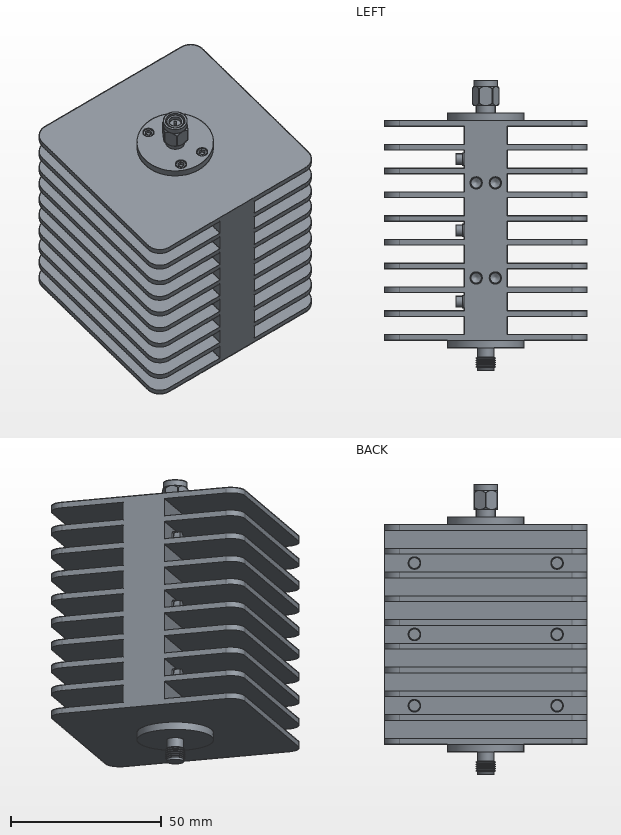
import cadquery as cq
import math


side = 67.3
corner_radius = 5.0
fin_count = 10
fin_pitch = 7.9
fin_thickness = 1.9
body_height = (fin_count - 1) * fin_pitch + fin_thickness
body_top = body_height / 2
column_width = 14.4

tap_diameter = 3.5
tap_mouth_diameter = 4.0
tap_depth = 7.7
tap_point_angle = 118
tap_offset_y = 3.2
tap_offset_z = 2 * fin_pitch

clamp_head_diameter = 3.7
clamp_head_length = 2.7
clamp_washer_diameter = 4.1
clamp_washer_thickness = 0.6
clamp_offset_x = 23.7
clamp_pitch_z = 3 * fin_pitch

flange_diameter = 25.4
flange_height = 2.5
flange_top = body_top + flange_height
flange_screw_spacing_x = 17.7
flange_screw_spacing_y = 8.9
flange_hole_diameter = 3.7
flange_hole_depth = 1.9
flange_head_diameter = 3.3
flange_head_drop = 0.2
socket_across_flats = 1.9
socket_depth = 1.2

plug_neck_diameter = 6.4
plug_neck_height = 2.4
nut_across_flats = 7.9
nut_height = 6.45
nut_point_diameter = 9.0
nut_bevel_height = 0.8
collar_height = 1.9
plug_height = plug_neck_height + nut_height + collar_height
plug_top = flange_top + plug_height
plug_bore_diameter = 6.4
plug_bore_depth = 1.7
ferrule_diameter = 5.6
ferrule_bore_diameter = 4.1
ferrule_drop = 0.4
plug_pin_diameter = 0.94
plug_pin_drop = 0.3
plug_pin_tip = 0.4

jack_diameter = 5.6
jack_height = 7.5
thread_diameter = 6.4
thread_start = 3.1
thread_pitch = 0.72
thread_ridges = 5


def rod(diameter, bottom, height):
    """Cylinder on the Z axis standing on the level `bottom`."""
    return cq.Workplane("XY").workplane(offset=bottom).circle(diameter / 2).extrude(height)


def hexagon(across_flats, bottom, height):
    """Hexagonal prism on the Z axis with flats facing +X and -X."""
    corner_diameter = across_flats / math.cos(math.pi / 6)
    prism = cq.Workplane("XY").polygon(6, corner_diameter).extrude(height)
    return prism.rotate((0, 0, 0), (0, 0, 1), 30).translate((0, 0, bottom))


def heat_sink():
    body = cq.Workplane("XY").box(side, column_width, body_height)
    fin = cq.Workplane("XY").box(side, side, fin_thickness).edges("|Z").fillet(corner_radius)
    for i in range(fin_count):
        z = (i - (fin_count - 1) / 2) * fin_pitch
        body = body.union(fin.translate((0, 0, z)))
    return body


def tapped_hole():
    """Drilled hole with a bevelled mouth and a conical end, running from the origin along +X."""
    radius = tap_diameter / 2
    mouth_radius = tap_mouth_diameter / 2
    bevel = mouth_radius - radius
    point_length = radius / math.tan(math.radians(tap_point_angle / 2))
    profile = [
        (0, 0),
        (0, mouth_radius),
        (bevel, radius),
        (tap_depth, radius),
        (tap_depth + point_length, 0),
    ]
    return cq.Workplane("XY").polyline(profile).close().revolve(360, (0, 0, 0), (1, 0, 0))


def clamp_screw():
    """Cylinder head on a washer, standing on the +Y face of the column."""
    washer = rod(clamp_washer_diameter, 0, clamp_washer_thickness)
    head = rod(clamp_head_diameter, 0, clamp_head_length)
    upright = washer.union(head)
    return upright.rotate((0, 0, 0), (1, 0, 0), -90).translate((0, column_width / 2, 0))


def flange_screw_recess():
    """Space around a sunk socket screw: clearance ring, gap above the head and hexagon socket."""
    hole_bottom = flange_top - flange_hole_depth
    head_top = flange_top - flange_head_drop
    hole = rod(flange_hole_diameter, hole_bottom, flange_hole_depth)
    head = rod(flange_head_diameter, hole_bottom, flange_hole_depth - flange_head_drop)
    socket = hexagon(socket_across_flats, head_top - socket_depth, socket_depth)
    return hole.cut(head).union(socket)


def coupling_nut():
    """Hexagon with blunted corners, bevelled at both ends down to the round collar."""
    flat_radius = nut_across_flats / 2
    point_radius = nut_point_diameter / 2
    envelope = [
        (0, 0),
        (flat_radius, 0),
        (point_radius, nut_bevel_height),
        (point_radius, nut_height - nut_bevel_height),
        (flat_radius, nut_height),
        (0, nut_height),
    ]
    round_limit = cq.Workplane("XZ").polyline(envelope).close().revolve(360, (0, 0, 0), (0, 1, 0))
    return hexagon(nut_across_flats, 0, nut_height).intersect(round_limit)


def plug_connector():
    nut_bottom = flange_top + plug_neck_height
    bore_bottom = plug_top - plug_bore_depth
    plug = rod(plug_neck_diameter, flange_top, plug_neck_height)
    plug = plug.union(coupling_nut().translate((0, 0, nut_bottom)))
    plug = plug.union(rod(nut_across_flats, nut_bottom + nut_height, collar_height))
    plug = plug.cut(rod(plug_bore_diameter, bore_bottom, plug_bore_depth))

    ferrule_height = plug_bore_depth - ferrule_drop
    ferrule = rod(ferrule_diameter, bore_bottom, ferrule_height)
    ferrule = ferrule.cut(rod(ferrule_bore_diameter, bore_bottom, ferrule_height))
    pin = rod(plug_pin_diameter, bore_bottom, plug_bore_depth - plug_pin_drop)
    pin = pin.faces(">Z").chamfer(plug_pin_tip)
    return plug.union(ferrule).union(pin)


def jack_connector():
    """Round barrel with V-shaped thread ridges, hanging below the lower flange."""
    root = jack_diameter / 2
    crest = thread_diameter / 2
    profile = [(0, 0), (root, 0), (root, -thread_start)]
    for i in range(thread_ridges):
        ridge_start = thread_start + i * thread_pitch
        profile.append((crest, -(ridge_start + thread_pitch / 2)))
        profile.append((root, -(ridge_start + thread_pitch)))
    profile += [(root, -jack_height), (0, -jack_height)]
    jack = cq.Workplane("XZ").polyline(profile).close().revolve(360, (0, 0, 0), (0, 1, 0))
    return jack.translate((0, 0, -flange_top))


result = heat_sink()
result = result.union(rod(flange_diameter, body_top, flange_height))
result = result.union(rod(flange_diameter, -flange_top, flange_height))

for y in (-tap_offset_y, tap_offset_y):
    for z in (-tap_offset_z, tap_offset_z):
        result = result.cut(tapped_hole().translate((-side / 2, y, z)))

for x in (-clamp_offset_x, clamp_offset_x):
    for z in (-clamp_pitch_z, 0, clamp_pitch_z):
        result = result.union(clamp_screw().translate((x, 0, z)))

for x in (-flange_screw_spacing_x / 2, flange_screw_spacing_x / 2):
    for y in (-flange_screw_spacing_y / 2, flange_screw_spacing_y / 2):
        result = result.cut(flange_screw_recess().translate((x, y, 0)))

result = result.union(plug_connector()).union(jack_connector())